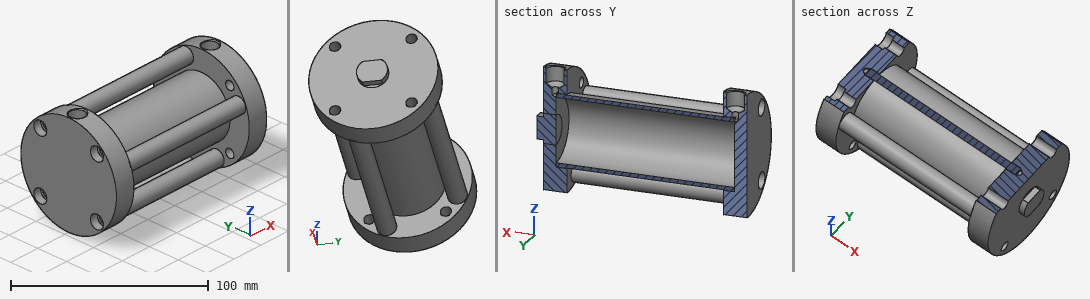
import cadquery as cq
import math

overall_length = 114.5

cap_diameter = 66.5
cap_thickness = 13.0
rod_protrusion = 3.4
caps_length = overall_length - rod_protrusion
front_cap_start = caps_length - cap_thickness

barrel_diameter = 39.7
barrel_wall = 2.3
barrel_seat_depth = 6.0
barrel_start = cap_thickness - barrel_seat_depth
barrel_end = front_cap_start + barrel_seat_depth

pitch_radius = 27.8
places_per_circle = 4
tie_rod_diameter = 10.2
tie_rod_start_angle = -22.5
mounting_hole_start_angle = 45.0
mounting_hole_diameter = 5.7
counterbore_diameter = 8.9
counterbore_depth = 5.0

port_diameter = 9.6
port_depth = 8.6
port_chamfer = 0.7
passage_diameter = 3.2
passage_depth = 14.3
drill_point_angle = 118.0

piston_rod_diameter = 16.0
piston_rod_across_flats = 12.7


def cylinder(diameter, start, end, y=0.0, z=0.0):
    """Cylinder parallel to X between two X positions."""
    return cq.Workplane("YZ", origin=(start, y, z)).circle(diameter / 2).extrude(end - start)


def pitch_points(start_angle):
    """(y, z) places spaced evenly around the pitch circle."""
    angles = [math.radians(start_angle + 360 / places_per_circle * i) for i in range(places_per_circle)]
    return [(pitch_radius * math.cos(a), pitch_radius * math.sin(a)) for a in angles]


def drilled_cone_height(radius):
    """Height of a drill point cone with the given radial width."""
    return radius / math.tan(math.radians(drill_point_angle / 2))


def port_cutter(x):
    """Revolved air port, entering from +Z at the given X."""
    top = cap_diameter / 2
    port_radius = port_diameter / 2
    passage_radius = passage_diameter / 2
    mouth_radius = port_radius + port_chamfer
    port_bottom = top - port_depth
    cone_bottom = port_bottom - drilled_cone_height(port_radius - passage_radius)
    passage_bottom = top - passage_depth
    passage_tip = passage_bottom - drilled_cone_height(passage_radius)
    return (
        cq.Workplane("XZ", origin=(x, 0, 0))
        .moveTo(0, passage_tip)
        .lineTo(passage_radius, passage_bottom)
        .lineTo(passage_radius, cone_bottom)
        .lineTo(port_radius, port_bottom)
        .lineTo(port_radius, top - port_chamfer)
        .lineTo(mouth_radius, top)
        .lineTo(mouth_radius, top + port_chamfer)
        .lineTo(0, top + port_chamfer)
        .close()
        .revolve(360, (0, 0, 0), (0, 1, 0))
    )


def make_cap(start):
    """End cap with its barrel recess, air port and mounting holes."""
    end = start + cap_thickness
    cap = cylinder(cap_diameter, start, end)
    cap = cap.cut(cylinder(barrel_diameter, barrel_start, barrel_end))
    cap = cap.cut(port_cutter(start + cap_thickness / 2))
    for y, z in pitch_points(mounting_hole_start_angle):
        cap = cap.cut(cylinder(mounting_hole_diameter, start, end, y, z))
    return cap


def make_rear_cap():
    """Cap at the closed end, counterbored for the heads of the mounting screws."""
    cap = make_cap(0)
    for y, z in pitch_points(mounting_hole_start_angle):
        cap = cap.cut(cylinder(counterbore_diameter, 0, counterbore_depth, y, z))
    return cap


def make_front_cap():
    """Cap at the rod end, bored to fit the piston rod."""
    return make_cap(front_cap_start).cut(cylinder(piston_rod_diameter, front_cap_start, caps_length))


def make_barrel():
    bore_diameter = barrel_diameter - 2 * barrel_wall
    barrel = cylinder(barrel_diameter, barrel_start, barrel_end)
    return barrel.cut(cylinder(bore_diameter, barrel_start, barrel_end))


def make_tie_rod(y, z):
    return cylinder(tie_rod_diameter, cap_thickness, front_cap_start, y, z)


def make_piston_rod():
    """Rod through the front cap, with flats facing +Z and -Z outside the cap."""
    shank = cylinder(piston_rod_diameter, barrel_end, caps_length)
    flats = cq.Workplane("YZ", origin=(caps_length, 0, 0)).rect(piston_rod_diameter, piston_rod_across_flats)
    end = cylinder(piston_rod_diameter, caps_length, overall_length).intersect(flats.extrude(rod_protrusion))
    return shank.union(end)


rear_cap = make_rear_cap()
front_cap = make_front_cap()
barrel = make_barrel()
tie_rods = [make_tie_rod(y, z) for y, z in pitch_points(tie_rod_start_angle)]
piston_rod = make_piston_rod()

result = cq.Compound.makeCompound(
    [
        rear_cap.val(),
        front_cap.val(),
        barrel.val(),
        *[rod.val() for rod in tie_rods],
        piston_rod.val(),
    ]
)